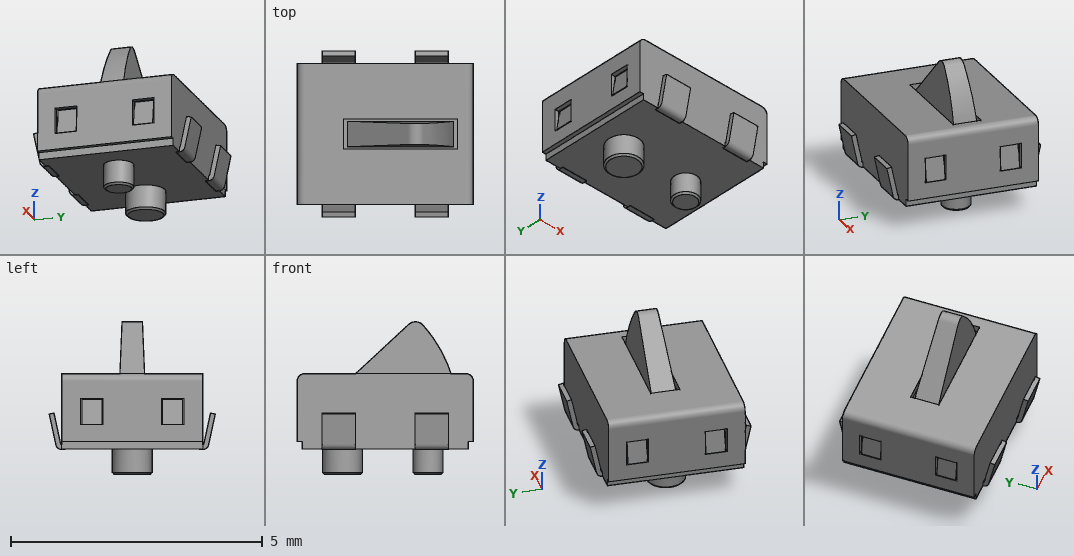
import cadquery as cq
import math


cover_length = 3.5
cover_depth = 2.8
cover_top = 1.5
cover_bottom = 0.15
sheet = 0.1
cover_bend_radius = 0.15

body_length = cover_length - 2 * sheet
body_top = cover_top - sheet
body_corner_radius = cover_bend_radius - sheet

window_width = 0.45
window_bottom = 0.485
window_top = 1.01
window_offset = 0.807
latch_offset = 0.8
latch_width = 0.4
latch_top_gap = 0.02
latch_low_reach = 0.085
latch_high_reach = 0.01

slot_start = -0.83
slot_end = 1.43
slot_width = 0.6
slot_floor = 1.35

lever_start = -0.75
lever_end = 1.35
lever_top = 2.53
lever_tip_x = 0.6
lever_tip_radius = 0.2
lever_back_angle = math.radians(48)
lever_base_width = 0.506
lever_top_width = 0.41

terminal_width = 0.66
terminal_offset = 0.925
terminal_sheet = 0.1
terminal_drop = 0.01
terminal_foot_start = 1.33
terminal_bend_radius = 0.12
terminal_lean = math.radians(12.2)
terminal_span = 3.3

pin_offset = 0.85
large_pin_diameter = 0.8
small_pin_diameter = 0.6
pin_length = 0.5
pin_chamfer = 0.04


def box(x_range, y_range, z_range):
    """Block spanning the given coordinate ranges."""
    (x0, x1), (y0, y1), (z0, z1) = x_range, y_range, z_range
    return cq.Workplane("XY").box(x1 - x0, y1 - y0, z1 - z0, centered=False).translate((x0, y0, z0))


def centered_range(size, center=0.0):
    return (center - size / 2, center + size / 2)


def rounded_block(length, bottom, top, radius):
    """Block of the cover depth with its two long upper edges rounded."""
    block = box(centered_range(length), centered_range(cover_depth), (bottom, top))
    return block.edges("|Y and >Z").fillet(radius)


def lever_slot():
    return box((slot_start, slot_end), centered_range(slot_width), (slot_floor, cover_top))


def make_cover():
    outside = rounded_block(cover_length, cover_bottom, cover_top, cover_bend_radius)
    inside = rounded_block(body_length, 0, body_top, body_corner_radius)
    cover = outside.cut(inside).cut(lever_slot())
    for side in (-1, 1):
        windows = box(
            centered_range(cover_length + sheet),
            centered_range(window_width, side * window_offset),
            (window_bottom, window_top),
        )
        cover = cover.cut(windows)
    return cover


def make_latch(end, side):
    """Latch on one body end: its face slopes inwards towards the top."""
    wall = body_length / 2
    latch_top = window_top - latch_top_gap
    profile = [
        (end * (wall - sheet), window_bottom),
        (end * (wall + latch_low_reach), window_bottom),
        (end * (wall + latch_high_reach), latch_top),
        (end * (wall - sheet), latch_top),
    ]
    latch = cq.Workplane("XZ").polyline(profile).close().extrude(latch_width / 2, both=True)
    return latch.translate((0, side * latch_offset, 0))


def make_body():
    body = rounded_block(body_length, 0, body_top, body_corner_radius).cut(lever_slot())
    for end in (-1, 1):
        for side in (-1, 1):
            body = body.union(make_latch(end, side))
    return body


def make_lever():
    """Straight ramp, round tip and bulging back, thinning towards the top."""
    tip_z = lever_top - lever_tip_radius

    run = lever_tip_x - lever_start
    rise = tip_z - slot_floor
    ramp_angle = math.atan2(rise, run) + math.asin(lever_tip_radius / math.hypot(run, rise))
    ramp_end = (
        lever_tip_x - lever_tip_radius * math.sin(ramp_angle),
        tip_z + lever_tip_radius * math.cos(ramp_angle),
    )
    back_start = (
        lever_tip_x + lever_tip_radius * math.sin(lever_back_angle),
        tip_z + lever_tip_radius * math.cos(lever_back_angle),
    )
    profile = (
        cq.Workplane("XZ")
        .moveTo(lever_start, slot_floor)
        .lineTo(*ramp_end)
        .threePointArc((lever_tip_x, lever_top), back_start)
        .tangentArcPoint((lever_end, slot_floor), relative=False)
        .close()
        .extrude(slot_width / 2, both=True)
    )
    taper = (
        cq.Workplane("YZ")
        .polyline([
            (-lever_base_width / 2, slot_floor),
            (lever_base_width / 2, slot_floor),
            (lever_top_width / 2, lever_top),
            (-lever_top_width / 2, lever_top),
        ])
        .close()
        .extrude(cover_length, both=True)
    )
    return profile.intersect(taper)


def make_terminal(x):
    """Bent strip on the +Y side: flat foot, bend and leaning blade."""
    bend_y = cover_depth / 2
    bend_z = terminal_bend_radius - terminal_drop
    inner_radius = terminal_bend_radius - terminal_sheet
    lean_cos = math.cos(terminal_lean)
    lean_sin = math.sin(terminal_lean)
    blade_run = terminal_span / 2 - bend_y - terminal_bend_radius * lean_cos
    blade_length = blade_run / lean_sin
    full_bend = math.pi / 2 - terminal_lean
    half_bend = full_bend / 2

    def on_bend(radius, angle):
        """Point on the bend, with the angle measured from straight down."""
        return (bend_y + radius * math.sin(angle), bend_z - radius * math.cos(angle))

    def blade_tip(radius):
        y, z = on_bend(radius, full_bend)
        return (y + blade_length * lean_sin, z + blade_length * lean_cos)

    strip = (
        cq.Workplane("YZ")
        .moveTo(terminal_foot_start, -terminal_drop)
        .lineTo(*on_bend(terminal_bend_radius, 0))
        .threePointArc(on_bend(terminal_bend_radius, half_bend), on_bend(terminal_bend_radius, full_bend))
        .lineTo(*blade_tip(terminal_bend_radius))
        .lineTo(*blade_tip(inner_radius))
        .lineTo(*on_bend(inner_radius, full_bend))
        .threePointArc(on_bend(inner_radius, half_bend), on_bend(inner_radius, 0))
        .lineTo(terminal_foot_start, terminal_sheet - terminal_drop)
        .close()
        .extrude(terminal_width / 2, both=True)
    )
    return strip.translate((x, 0, 0))


def make_pin(x, diameter):
    pin = cq.Workplane("XY").circle(diameter / 2).extrude(-pin_length)
    return pin.faces("<Z").chamfer(pin_chamfer).translate((x, 0, 0))


switch = make_body().union(make_lever())
switch = switch.union(make_pin(-pin_offset, large_pin_diameter))
switch = switch.union(make_pin(pin_offset, small_pin_diameter))
for terminal_x in (-terminal_offset, terminal_offset):
    terminal = make_terminal(terminal_x)
    switch = switch.union(terminal).union(terminal.mirror("XZ"))

result = switch.union(make_cover(), clean=False)